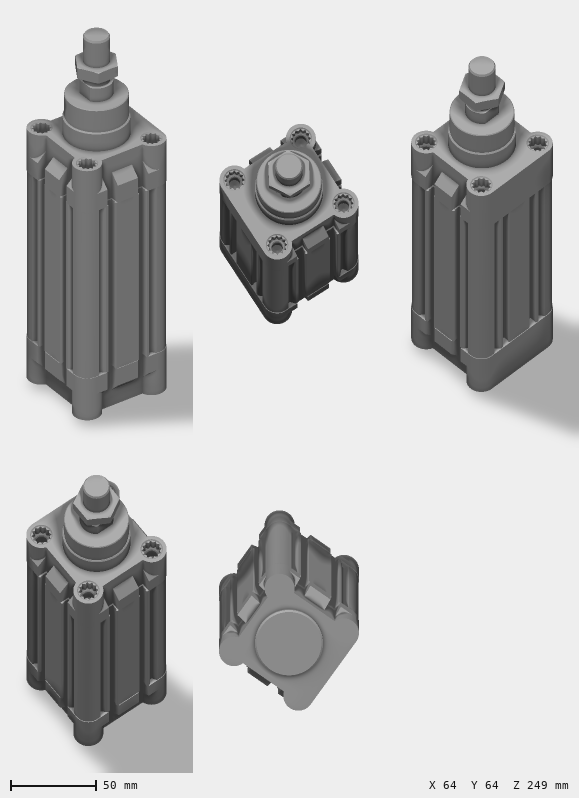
import cadquery as cq
import math


CAP_WIDTH = 64.0
CAP_HALF = CAP_WIDTH / 2
SCREW_OFFSET = 23.2
EAR_RADIUS = CAP_HALF - SCREW_OFFSET
WALL_HALF = 26.0
BARREL_HALF = 31.5

FULL_HEIGHT = 249.0
BOSS_HEIGHT = 4.0
CAP_HEIGHT = 29.5
BARREL_HEIGHT = 117.0
LOWER_CAP_TOP = BOSS_HEIGHT + CAP_HEIGHT
UPPER_CAP_BASE = LOWER_CAP_TOP + BARREL_HEIGHT
UPPER_CAP_TOP = UPPER_CAP_BASE + CAP_HEIGHT
COLLAR_TOP = 192.5
SLEEVE_TOP = 208.0
SHOULDER_TOP = 217.5

COLLAR_DIAMETER = 40.0
SLEEVE_DIAMETER = 38.0
COLLAR_CHAMFER = 0.7
SLEEVE_CHAMFER = 0.5
BOSS_CHAMFER = 1.0

LUG_HEIGHT = 12.0
CENTER_LUG_HALF = 7.2
CORNER_LUG_INNER = 14.7

SLOT_INNER = (8.0, 13.7)
SLOT_MOUTH = (8.5, 13.5)
SLOT_FLOOR = 26.6
LIP_THICKNESS = 1.2
LIP_RADIUS = 0.62
GROOVE_INNER = 15.5
GROOVE_FLOOR = (17.7, 19.2)
GROOVE_OUTER = 20.7
GROOVE_DEPTH = 2.5
GROOVE_FLOOR_SAG = 0.2

SOCKET_POINTS = 12
SOCKET_DIAMETER = 12.0
SOCKET_NOTCH_DIAMETER = 9.5
SOCKET_MOUTH_DIAMETER = 13.2
SOCKET_DEPTH = 7.5
SCREW_HOLE_DIAMETER = 6.7
SCREW_HOLE_MOUTH_DIAMETER = 8.0
SCREW_HOLE_DEPTH = 7.5
DRILL_POINT_ANGLE = 118.0

ROD_DIAMETER = 20.0
ROD_END_DIAMETER = 16.0
ROD_TIP_DIAMETER = 14.5
ROD_TIP_HEIGHT = 1.2
ROD_FLATS = 16.7
ROD_BASE = UPPER_CAP_BASE

NUT_FLATS = 24.0
NUT_CORNERS = NUT_FLATS / math.cos(math.pi / 6)
NUT_BASE = 223.0
NUT_HEIGHT = 7.5
NUT_FACE_DIAMETER = 25.0
NUT_CHAMFER_ANGLE = 15.0

SIDE_ANGLES = (0, 90, 180, 270)
RECESSED_ANGLES = (0, 90, 270)


def disc(diameter, bottom, top):
    return cq.Workplane("XY", (0, 0, bottom)).circle(diameter / 2).extrude(top - bottom)


def cone(bottom_diameter, top_diameter, bottom, top):
    return cq.Workplane(cq.Solid.makeCone(
        bottom_diameter / 2, top_diameter / 2, top - bottom, cq.Vector(0, 0, bottom)))


def turned(shape, angle):
    return shape.rotate((0, 0, 0), (0, 0, 1), angle)


def lug(inner, outer):
    """Lug on the -Y wall between two X places, with a 45-degree slope above it. It starts at z = 0."""
    slope = CAP_HALF - WALL_HALF
    return (
        cq.Workplane("YZ", (inner, 0, 0))
        .moveTo(-WALL_HALF, 0)
        .lineTo(-CAP_HALF, 0)
        .lineTo(-CAP_HALF, LUG_HEIGHT)
        .lineTo(-WALL_HALF, LUG_HEIGHT + slope)
        .close()
        .extrude(outer - inner)
    )


def make_cap():
    """End cap with its barrel face on z = 0: square core, four ears, lugs on three sides."""
    core = cq.Workplane("XY").box(2 * WALL_HALF, 2 * WALL_HALF, CAP_HEIGHT, centered=(True, True, False))
    back = (
        cq.Workplane("XY", (0, (SCREW_OFFSET + CAP_HALF) / 2, 0))
        .box(2 * SCREW_OFFSET, EAR_RADIUS, CAP_HEIGHT, centered=(True, True, False))
    )
    ears = (
        cq.Workplane("XY")
        .rect(2 * SCREW_OFFSET, 2 * SCREW_OFFSET, forConstruction=True)
        .vertices()
        .circle(EAR_RADIUS)
        .extrude(CAP_HEIGHT)
    )
    cap = core.union(back).union(ears)
    for angle in RECESSED_ANGLES:
        cap = cap.union(turned(lug(-CENTER_LUG_HALF, CENTER_LUG_HALF), angle))
        cap = cap.union(turned(lug(CORNER_LUG_INNER, SCREW_OFFSET), angle))
        cap = cap.union(turned(lug(-SCREW_OFFSET, -CORNER_LUG_INNER), angle))
    return cap


def slot_cutter():
    """Slot with a round-edged lip on each side of its opening, on the -Y side at +X."""
    lip = BARREL_HALF - LIP_THICKNESS
    round_start = BARREL_HALF - LIP_RADIUS
    round_sag = LIP_RADIUS * (1 - math.sqrt(0.5))
    near, far = SLOT_MOUTH
    return (
        cq.Workplane("XY", (0, 0, LOWER_CAP_TOP))
        .moveTo(near - LIP_RADIUS, -BARREL_HALF)
        .threePointArc((near - round_sag, round_sag - BARREL_HALF), (near, -round_start))
        .lineTo(near, -lip)
        .lineTo(SLOT_INNER[0], -lip)
        .lineTo(SLOT_INNER[0], -SLOT_FLOOR)
        .lineTo(SLOT_INNER[1], -SLOT_FLOOR)
        .lineTo(SLOT_INNER[1], -lip)
        .lineTo(far, -lip)
        .lineTo(far, -round_start)
        .threePointArc((far + round_sag, round_sag - BARREL_HALF), (far + LIP_RADIUS, -BARREL_HALF))
        .close()
        .extrude(BARREL_HEIGHT)
    )


def groove_cutter():
    """Open groove with sloping sides and a round floor beside a barrel corner, on the -Y side at +X."""
    floor = BARREL_HALF - GROOVE_DEPTH
    floor_middle = (sum(GROOVE_FLOOR) / 2, GROOVE_FLOOR_SAG - floor)
    return (
        cq.Workplane("XY", (0, 0, LOWER_CAP_TOP))
        .moveTo(GROOVE_INNER, -BARREL_HALF)
        .lineTo(GROOVE_FLOOR[0], -floor)
        .threePointArc(floor_middle, (GROOVE_FLOOR[1], -floor))
        .lineTo(GROOVE_OUTER, -BARREL_HALF)
        .close()
        .extrude(BARREL_HEIGHT)
    )


def make_barrel():
    barrel = (
        cq.Workplane("XY", (0, 0, LOWER_CAP_TOP))
        .rect(2 * BARREL_HALF, 2 * BARREL_HALF)
        .extrude(BARREL_HEIGHT)
        .edges("|Z")
        .fillet(BARREL_HALF - SCREW_OFFSET)
    )
    for cutter in (slot_cutter(), groove_cutter()):
        for angle in SIDE_ANGLES:
            barrel = barrel.cut(turned(cutter, angle))
            barrel = barrel.cut(turned(cutter.mirror("YZ"), angle))
    return barrel


def screw_cutter():
    """Twelve-point socket with a chamfered mouth, and a drilled hole in its floor."""
    corners = []
    for step in range(2 * SOCKET_POINTS):
        radius = (SOCKET_NOTCH_DIAMETER if step % 2 else SOCKET_DIAMETER) / 2
        angle = math.pi * step / SOCKET_POINTS
        corners.append((radius * math.cos(angle), radius * math.sin(angle)))
    floor = UPPER_CAP_TOP - SOCKET_DEPTH
    socket = cq.Workplane("XY", (0, 0, floor)).polyline(corners).close().extrude(SOCKET_DEPTH)
    mouth_depth = (SOCKET_MOUTH_DIAMETER - SOCKET_DIAMETER) / 2
    mouth = cone(SOCKET_DIAMETER, SOCKET_MOUTH_DIAMETER, UPPER_CAP_TOP - mouth_depth, UPPER_CAP_TOP)
    hole_end = floor - SCREW_HOLE_DEPTH
    point_height = SCREW_HOLE_DIAMETER / 2 / math.tan(math.radians(DRILL_POINT_ANGLE / 2))
    hole_mouth_depth = (SCREW_HOLE_MOUTH_DIAMETER - SCREW_HOLE_DIAMETER) / 2
    hole = disc(SCREW_HOLE_DIAMETER, hole_end, floor)
    hole_mouth = cone(SCREW_HOLE_DIAMETER, SCREW_HOLE_MOUTH_DIAMETER, floor - hole_mouth_depth, floor)
    drill_point = cone(0, SCREW_HOLE_DIAMETER, hole_end - point_height, hole_end)
    return socket.union(mouth).union(hole).union(hole_mouth).union(drill_point)


def make_housing():
    cap = make_cap()
    upper_cap = cap.translate((0, 0, UPPER_CAP_BASE))
    lower_cap = cap.mirror("XY").translate((0, 0, LOWER_CAP_TOP))
    boss = disc(COLLAR_DIAMETER, 0, BOSS_HEIGHT).faces("<Z").chamfer(BOSS_CHAMFER)
    collar = disc(COLLAR_DIAMETER, UPPER_CAP_TOP, COLLAR_TOP).faces(">Z").chamfer(COLLAR_CHAMFER)
    sleeve = disc(SLEEVE_DIAMETER, UPPER_CAP_TOP, SLEEVE_TOP).faces(">Z").chamfer(SLEEVE_CHAMFER)
    housing = make_barrel()
    for piece in (upper_cap, lower_cap, boss, collar, sleeve):
        housing = housing.union(piece)
    for x in (-SCREW_OFFSET, SCREW_OFFSET):
        for y in (-SCREW_OFFSET, SCREW_OFFSET):
            housing = housing.cut(screw_cutter().translate((x, y, 0)))
    return housing.cut(disc(ROD_DIAMETER, ROD_BASE, SLEEVE_TOP))


def make_rod():
    """Rod with a shoulder, two flats facing -Y and +Y above the sleeve, and a thinner end."""
    shoulder = disc(ROD_DIAMETER, ROD_BASE, SHOULDER_TOP)
    for side in (-1, 1):
        flat_cutter = (
            cq.Workplane("XY", (0, side * (ROD_FLATS + ROD_DIAMETER) / 2, SLEEVE_TOP))
            .box(ROD_DIAMETER, ROD_DIAMETER, FULL_HEIGHT, centered=(True, True, False))
        )
        shoulder = shoulder.cut(flat_cutter)
    tip_base = FULL_HEIGHT - ROD_TIP_HEIGHT
    end = disc(ROD_END_DIAMETER, ROD_BASE, tip_base)
    tip = cone(ROD_END_DIAMETER, ROD_TIP_DIAMETER, tip_base, FULL_HEIGHT)
    return shoulder.union(end).union(tip)


def make_nut():
    """Hex nut with corners on +Y and -Y, chamfered on both faces."""
    blank = cq.Workplane("XY", (0, 0, NUT_BASE)).polygon(6, NUT_CORNERS).extrude(NUT_HEIGHT)
    blank = turned(blank, 90)
    chamfer_width = (NUT_CORNERS - NUT_FACE_DIAMETER) / 2
    chamfer_height = chamfer_width * math.tan(math.radians(NUT_CHAMFER_ANGLE))
    envelope = (
        disc(NUT_CORNERS, NUT_BASE, NUT_BASE + NUT_HEIGHT)
        .faces("<Z or >Z")
        .chamfer(chamfer_height, chamfer_width)
    )
    return blank.intersect(envelope).cut(disc(ROD_END_DIAMETER, NUT_BASE, NUT_BASE + NUT_HEIGHT))


housing = make_housing()
rod = make_rod()
nut = make_nut()

result = cq.Compound.makeCompound([housing.val(), rod.val(), nut.val()])